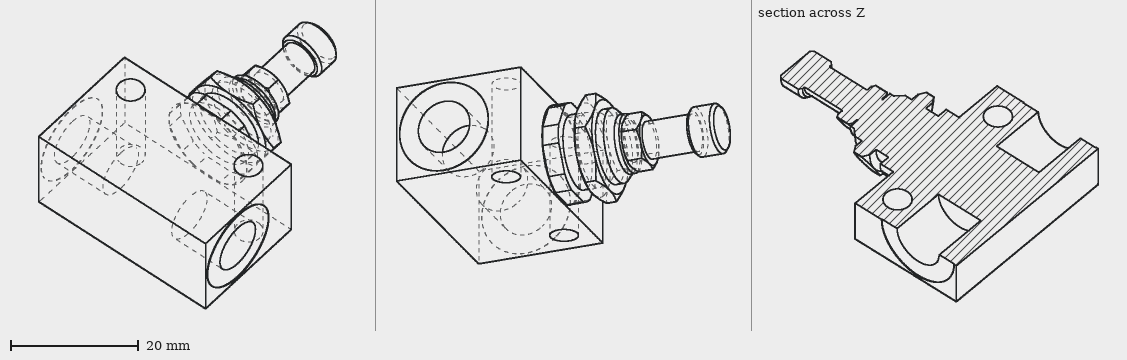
import cadquery as cq
import math

BODY_LENGTH = 34.0
BODY_DEPTH = 21.0
BODY_HEIGHT = 16.0

FIXING_DIAMETER = 4.5
FIXING_SPACING = 24.0
FIXING_Y = 16.5

PORT_DIAMETER = 8.7
PORT_DEPTH = 10.0
PORT_Y = 8.0
PORT_FACE_DIAMETER = 15.0
PORT_FACE_DEPTH = 0.1

SEAT_DIAMETER = 15.9
SEAT_DEPTH = 0.1

CARTRIDGE_FLATS = 15.0
CARTRIDGE_HEX_DIAMETER = 15.8
CARTRIDGE_HEX_TOP = 2.65
NECK_DIAMETER = 12.0
NECK_TOP = 9.5
SHOULDER_DIAMETER = 9.5
CONE_TOP = 10.8
SHOULDER_TOP = 11.6

PANEL_NUT_FLATS = 15.0
PANEL_NUT_BOTTOM = 5.15
PANEL_NUT_THICKNESS = 3.0
LOCK_NUT_FLATS = 8.0
LOCK_NUT_BOTTOM = 11.7
LOCK_NUT_THICKNESS = 3.1
NUT_CHAMFER_ANGLE = 30.0

SPINDLE_DIAMETER = 6.0
KNOB_DIAMETER = 8.0
KNOB_BOTTOM = 22.55
KNOB_TOP = 27.11
KNOB_CHAMFER = 0.5


def cylinder(diameter, bottom, top):
    """Cylinder on the cartridge axis (built along Z)."""
    return cq.Workplane("XY").workplane(offset=bottom).circle(diameter / 2).extrude(top - bottom)


def hexagon(flats, bottom, top):
    """Hexagonal prism on the cartridge axis with corners on the X axis."""
    corners = flats / math.cos(math.pi / 6)
    return cq.Workplane("XY").workplane(offset=bottom).polygon(6, corners).extrude(top - bottom)


def chamfered_nut(flats, bottom, thickness):
    """Hexagon nut whose corners are turned off conically at both ends."""
    corners = flats / math.cos(math.pi / 6)
    radial = (corners - flats) / 2
    axial = radial * math.tan(math.radians(NUT_CHAMFER_ANGLE))
    top = bottom + thickness
    turned = cylinder(corners, bottom, top).faces("<Z or >Z").chamfer(axial, radial)
    return hexagon(flats, bottom, top).intersect(turned)


def make_body():
    body = cq.Workplane("XY").box(BODY_LENGTH, BODY_DEPTH, BODY_HEIGHT, centered=(True, False, True))
    fixing_points = [(-FIXING_SPACING / 2, FIXING_Y), (FIXING_SPACING / 2, FIXING_Y)]
    holes = (
        cq.Workplane("XY")
        .pushPoints(fixing_points)
        .circle(FIXING_DIAMETER / 2)
        .extrude(BODY_HEIGHT, both=True)
    )
    body = body.cut(holes)
    for side in (-1, 1):
        end_plane = cq.Workplane("YZ", origin=(side * BODY_LENGTH / 2, PORT_Y, 0))
        body = body.cut(end_plane.circle(PORT_DIAMETER / 2).extrude(-side * PORT_DEPTH))
        body = body.cut(end_plane.circle(PORT_FACE_DIAMETER / 2).extrude(-side * PORT_FACE_DEPTH))
    seat = cq.Workplane("XZ", origin=(0, BODY_DEPTH, 0)).circle(SEAT_DIAMETER / 2).extrude(SEAT_DEPTH)
    return body.cut(seat)


def make_cartridge():
    corner_round = cylinder(CARTRIDGE_HEX_DIAMETER, -SEAT_DEPTH, CARTRIDGE_HEX_TOP)
    hex_base = hexagon(CARTRIDGE_FLATS, -SEAT_DEPTH, CARTRIDGE_HEX_TOP).intersect(corner_round)
    cone_width = (NECK_DIAMETER - SHOULDER_DIAMETER) / 2
    neck = cylinder(NECK_DIAMETER, 0, CONE_TOP).faces(">Z").chamfer(CONE_TOP - NECK_TOP, cone_width)
    shoulder = cylinder(SHOULDER_DIAMETER, 0, SHOULDER_TOP)
    spindle = cylinder(SPINDLE_DIAMETER, 0, KNOB_TOP)
    knob = cylinder(KNOB_DIAMETER, KNOB_BOTTOM, KNOB_TOP).faces("<Z or >Z").chamfer(KNOB_CHAMFER)
    panel_nut = chamfered_nut(PANEL_NUT_FLATS, PANEL_NUT_BOTTOM, PANEL_NUT_THICKNESS)
    lock_nut = chamfered_nut(LOCK_NUT_FLATS, LOCK_NUT_BOTTOM, LOCK_NUT_THICKNESS)
    cartridge = hex_base
    for piece in (neck, shoulder, spindle, knob, panel_nut, lock_nut):
        cartridge = cartridge.union(piece)
    return cartridge.rotate((0, 0, 0), (1, 0, 0), -90).translate((0, BODY_DEPTH, 0))


result = make_body().union(make_cartridge())